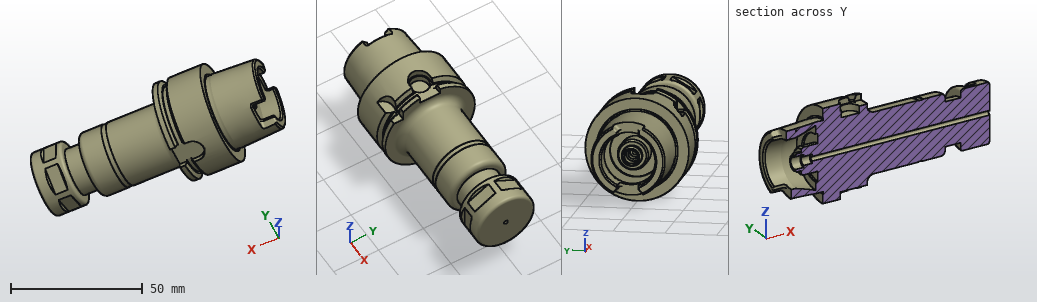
import cadquery as cq
import math

total_length = 95.0
flange_start = 19.95
flange_end = 40.0
body_end = 75.05
nut_start = 81.8

taper_end = 17.9
taper_mouth_radius = 14.25
taper_large_radius = 15.1
taper_mouth_chamfer = 0.7
relief_radius = 15.0
relief_run_in = 0.8
face_recess_radius = 15.8
face_recess_depth = 0.2

flange_diameter = 40.0
flange_radius = flange_diameter / 2
groove_floor_radius = 17.4
groove_step_radius = 18.1
groove_left = 33.9
groove_floor_left = 35.0
groove_floor_right = 36.9
groove_right = 37.8

body_radius = 13.0
body_root_fillet = 3.0
body_end_fillet = 2.0
band_start = 62.9
band_end = 64.9
band_depth = 0.2
neck_radius = 9.5
nut_radius = 13.0
nut_fillet = 1.2

bore_lip_radius = 10.45
bore_mouth_chamfer = 0.7
bore_lip_end = 7.8
undercut_angle = 18.0
undercut_end = 16.6
bore_floor_radius = 9.9
bore_floor_depth = 17.6

collar_diameter = 11.9
collar_tip_radius = 5.3
collar_top = 10.2
tube_radius = 3.9
tube_tip_radius = 3.2
tube_top = 7.2
tube_taper_angle = 30.0
tube_bores = ((5.1, 11.4), (3.5, 15.2))
tube_embed = 0.95
through_hole_diameter = 1.7

notch_half_width = 4.0
notch_flare_height = 11.0
notch_floor_fillet = 1.0
notch_mouth_rounding = 0.7
top_notch_depth = 3.5
bottom_notch_depth = 5.7

slot_width = 8.8
slot_center = 32.3
slot_floor_height = 17.0
slot_hole_diameter = 8.0
slot_hole_depth = 2.85
side_slot_floor_height = 11.8
side_slot_wall = 12.0

flat_count = 6
flat_distance = 11.9
flat_left = 84.5
flat_right = 89.6
flat_end_angle = 30.0

clearance = 4.75


def revolve_about_axis(profile):
    """Turn a closed profile drawn as (x, radius) about the X axis."""
    return profile.close().revolve(360, (0, 0, 0), (1, 0, 0))


def turned_blank():
    root_mid = body_root_fillet * (1 - math.sqrt(0.5))
    return revolve_about_axis(
        cq.Workplane("XY")
        .moveTo(0, 0)
        .lineTo(0, taper_mouth_radius - taper_mouth_chamfer)
        .lineTo(taper_mouth_chamfer, taper_mouth_radius)
        .lineTo(taper_end, taper_large_radius)
        .lineTo(taper_end + relief_run_in, relief_radius)
        .lineTo(flange_start + face_recess_depth, relief_radius)
        .lineTo(flange_start + face_recess_depth, face_recess_radius)
        .lineTo(flange_start, face_recess_radius)
        .lineTo(flange_start, flange_radius)
        .lineTo(groove_left, flange_radius)
        .lineTo(groove_floor_left, groove_step_radius)
        .lineTo(groove_floor_left, groove_floor_radius)
        .lineTo(groove_floor_right, groove_floor_radius)
        .lineTo(groove_floor_right, groove_step_radius)
        .lineTo(groove_right, flange_radius)
        .lineTo(flange_end, flange_radius)
        .lineTo(flange_end, body_radius + body_root_fillet)
        .threePointArc(
            (flange_end + root_mid, body_radius + root_mid),
            (flange_end + body_root_fillet, body_radius),
        )
        .lineTo(band_start, body_radius)
        .lineTo(band_start, body_radius - band_depth)
        .lineTo(band_end, body_radius - band_depth)
        .lineTo(band_end, body_radius)
        .lineTo(body_end - body_end_fillet, body_radius)
        .radiusArc((body_end, body_radius - body_end_fillet), body_end_fillet)
        .lineTo(body_end, neck_radius)
        .lineTo(nut_start, neck_radius)
        .lineTo(nut_start, nut_radius - nut_fillet)
        .radiusArc((nut_start + nut_fillet, nut_radius), nut_fillet)
        .lineTo(total_length - nut_fillet, nut_radius)
        .radiusArc((total_length, nut_radius - nut_fillet), nut_fillet)
        .lineTo(total_length, 0)
    )


def shank_bore():
    undercut_run = undercut_end - bore_lip_end
    undercut_radius = bore_lip_radius + undercut_run * math.tan(math.radians(undercut_angle))
    return revolve_about_axis(
        cq.Workplane("XY")
        .moveTo(0, 0)
        .lineTo(0, bore_lip_radius + bore_mouth_chamfer)
        .lineTo(bore_mouth_chamfer, bore_lip_radius)
        .lineTo(bore_lip_end, bore_lip_radius)
        .lineTo(undercut_end, undercut_radius)
        .lineTo(undercut_end, bore_floor_radius)
        .lineTo(bore_floor_depth, bore_floor_radius)
        .lineTo(bore_floor_depth, 0)
    )


def coolant_tube():
    def tapered_post(radius, tip_radius, top):
        taper_run = (radius - tip_radius) / math.tan(math.radians(tube_taper_angle))
        return revolve_about_axis(
            cq.Workplane("XY")
            .moveTo(top, 0)
            .lineTo(top, tip_radius)
            .lineTo(top + taper_run, radius)
            .lineTo(bore_floor_depth + tube_embed, radius)
            .lineTo(bore_floor_depth + tube_embed, 0)
        )

    tube = tapered_post(collar_diameter / 2, collar_tip_radius, collar_top)
    tube = tube.union(tapered_post(tube_radius, tube_tip_radius, tube_top))
    for diameter, depth in tube_bores:
        tube = tube.cut(cq.Workplane("YZ").circle(diameter / 2).extrude(depth))
    return tube


def drive_notch(depth, side):
    """Flared notch across the mouth wall, opening toward +Z (side 1) or -Z (side -1)."""
    outer = taper_large_radius + clearance
    outer_half_width = notch_half_width + outer - notch_flare_height
    notch = (
        cq.Workplane("YZ")
        .polyline([
            (-notch_half_width, 0),
            (notch_half_width, 0),
            (notch_half_width, notch_flare_height),
            (outer_half_width, outer),
            (-outer_half_width, outer),
            (-notch_half_width, notch_flare_height),
        ])
        .close()
        .extrude(depth)
    )
    notch = notch.faces(">X").edges("not |Y").fillet(notch_floor_fillet)
    keep = cq.Workplane("XY").box(depth, 2 * outer_half_width, outer, centered=(False, True, False))
    notch = notch.intersect(keep.translate((0, 0, bore_lip_radius / 2)))
    if side < 0:
        notch = notch.mirror("XY")
    return notch


def milled_slot(center_y, floor_height, side=1):
    """Round-ended slot sunk from +Z (side 1) or -Z (side -1), open at the +X end of the flange."""
    height = flange_radius + clearance - floor_height
    run = flange_end - slot_center
    slot = cq.Workplane("XY").circle(slot_width / 2).extrude(height)
    slot = slot.union(cq.Workplane("XY").box(run, slot_width, height, centered=(False, True, False)))
    slot = slot.translate((slot_center, center_y, floor_height))
    if side < 0:
        slot = slot.mirror("XY")
    return slot


def wrench_flats():
    """Pockets with sloping ends, spaced evenly around the nut with one pair facing -Y and +Y."""
    depth = nut_radius + clearance - flat_distance
    spread = depth * math.tan(math.radians(flat_end_angle))
    pocket = (
        cq.Workplane("XZ")
        .polyline([
            (flat_left, flat_distance),
            (flat_right, flat_distance),
            (flat_right + spread, flat_distance + depth),
            (flat_left - spread, flat_distance + depth),
        ])
        .close()
        .extrude(nut_radius, both=True)
    )
    flats = cq.Workplane("XY")
    for i in range(flat_count):
        angle = 90 + i * 360 / flat_count
        flats = flats.add(pocket.rotate((0, 0, 0), (1, 0, 0), angle))
    return flats.combine()


result = turned_blank().cut(shank_bore())
result = result.cut(drive_notch(top_notch_depth, 1)).cut(drive_notch(bottom_notch_depth, -1))
result = result.faces("<X").edges("%LINE").fillet(notch_mouth_rounding)
result = result.union(coolant_tube())

result = result.cut(milled_slot(0, slot_floor_height)).cut(milled_slot(0, slot_floor_height, -1))
result = result.cut(milled_slot(-side_slot_wall - slot_width / 2, side_slot_floor_height))
slot_hole = cq.Workplane("XY", origin=(slot_center, 0, slot_floor_height))
result = result.cut(slot_hole.circle(slot_hole_diameter / 2).extrude(-slot_hole_depth))

result = result.cut(wrench_flats())
result = result.cut(cq.Workplane("YZ").circle(through_hole_diameter / 2).extrude(total_length))